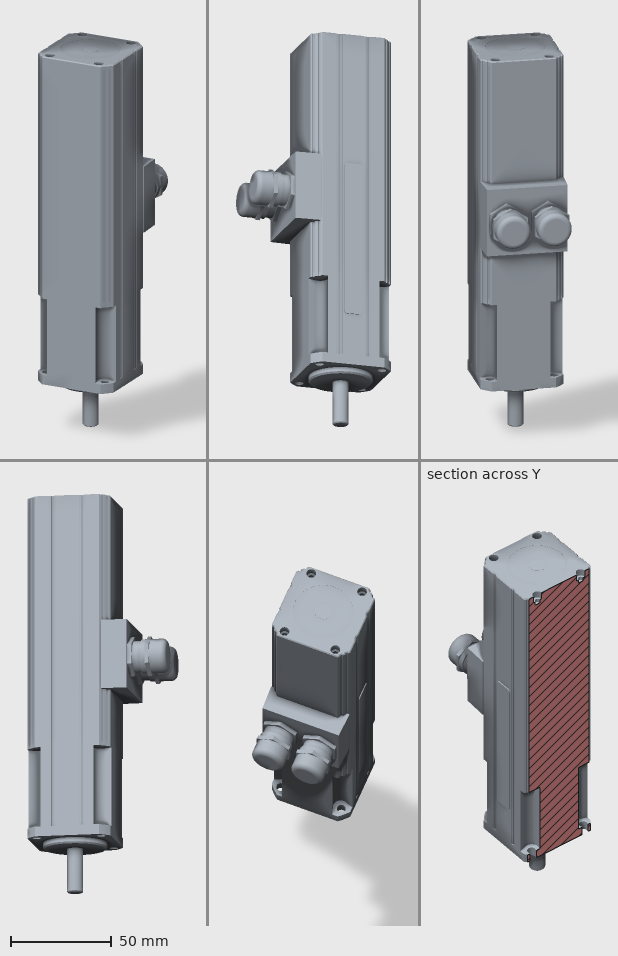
import cadquery as cq
import math


width = 42.0
half = width / 2
corner_chamfer = 4.8
flange_thickness = 5.0
housing_top = 172.0
section_joints = (109.3, 144.0)
top_edge_chamfer = 0.5
side_groove_offset = 7.4
side_groove_steps = ((3.0, 0.3), (0.9, 0.7))
corner_groove_offset = 1.5
corner_groove_steps = ((1.4, 0.5),)

flange_corner_radius = math.hypot(half, half - corner_chamfer)
mount_circle_diameter = 46.0
mount_hole_offset = mount_circle_diameter / 2 / math.sqrt(2)
mount_hole_diameter = 4.3
pilot_diameter = 32.0
pilot_length = 3.0
pilot_chamfer = 0.8
shaft_diameter = 8.0
shaft_length = 25.0
shaft_chamfer = 0.5

pocket_height = 40.0
pocket_mouth = 13.45
pocket_arc_near = 12.0
pocket_arc_far = 17.0
pocket_arc_radius = 3.9
pocket_overrun = 1.0

cover_disc_diameter = 30.0
cover_hub_diameter = 8.5
cover_step = 0.1
cover_screw_x = 13.6
cover_screw_y = 17.6
screw_bore_diameter = 4.8
screw_bore_depth = 4.0
screw_socket_size = 2.5
screw_socket_depth = 2.0

plate_thickness = 0.5
plate_width = 10.0
plate_bottom = 26.3
plate_top = 104.7
plate_corner_radius = 1.5

box_height = 34.6
box_center_z = 91.0
box_inner_y = 17.0
box_outer_y = 30.0
box_outer_half_width = 20.4

gland_offset_x = 10.5
gland_tip_y = 49.0
gland_diameter = 17.0
gland_tip_radius = 2.5
gland_neck_diameter = 15.5
gland_neck_end_y = 36.1
hex_across_flats = 17.2
hex_across_corners = hex_across_flats / math.cos(math.pi / 6)
base_hex_end_y = 32.1
cap_hex_start_y = 38.8
cap_hex_end_y = 40.8


def grooved_side(start, end, offset, steps):
    """Outline points of one side, from its start, with a pair of stepped grooves.

    The outline runs counter-clockwise. The grooves lie at +/- offset from the
    middle of the side, and steps lists their (width, depth) from wide to narrow.
    """
    length = math.dist(start, end)
    along = ((end[0] - start[0]) / length, (end[1] - start[1]) / length)
    inward = (-along[1], along[0])
    middle = ((start[0] + end[0]) / 2, (start[1] + end[1]) / 2)

    entering_half = []
    depth_above = 0.0
    for step_width, depth in steps:
        entering_half += [(-step_width / 2, depth_above), (-step_width / 2, depth)]
        depth_above = depth
    leaving_half = [(-shift, depth) for shift, depth in reversed(entering_half)]

    points = [start]
    for groove_middle in (-offset, offset):
        for shift, depth in entering_half + leaving_half:
            distance = groove_middle + shift
            points.append((
                middle[0] + along[0] * distance + inward[0] * depth,
                middle[1] + along[1] * distance + inward[1] * depth,
            ))
    return points


def housing_outline():
    """Chamfered square with grooves in the chamfers and in the X sides."""
    flat = half - corner_chamfer
    corners = [
        (half, -flat), (half, flat), (flat, half), (-flat, half),
        (-half, flat), (-half, -flat), (-flat, -half), (flat, -half),
    ]
    points = []
    for index, start in enumerate(corners):
        end = corners[(index + 1) % len(corners)]
        is_chamfer = index % 2 == 1
        is_x_side = start[0] == end[0]
        if is_chamfer:
            points += grooved_side(start, end, corner_groove_offset, corner_groove_steps)
        elif is_x_side:
            points += grooved_side(start, end, side_groove_offset, side_groove_steps)
        else:
            points.append(start)
    return points


def make_housing():
    """Motor, brake and encoder sections stacked on the flange, joints kept visible."""
    levels = (flange_thickness, *section_joints, housing_top)
    outline = housing_outline()
    housing = None
    for bottom, top in zip(levels, levels[1:]):
        section = cq.Workplane("XY").workplane(offset=bottom).polyline(outline).close()
        section = section.extrude(top - bottom)
        if top == housing_top:
            section = section.faces(">Z").chamfer(top_edge_chamfer)
        housing = section if housing is None else housing.union(section, clean=False)
    return housing


def make_pocket(sign_x, sign_y):
    """Cutter for the rounded screw pocket above one flange corner."""
    half_chord = (pocket_arc_far - pocket_arc_near) / math.sqrt(2)
    sagitta = pocket_arc_radius - math.sqrt(pocket_arc_radius**2 - half_chord**2)
    root = (pocket_arc_near + pocket_arc_far) / 2 - sagitta / math.sqrt(2)
    wall_slope = (pocket_mouth - pocket_arc_near) / (half - pocket_arc_far)
    outside = half + pocket_overrun
    outside_mouth = pocket_mouth + wall_slope * (outside - half)

    def corner(x, y):
        return (sign_x * x, sign_y * y)

    return (
        cq.Workplane("XY")
        .workplane(offset=flange_thickness)
        .moveTo(*corner(outside, outside_mouth))
        .lineTo(*corner(pocket_arc_far, pocket_arc_near))
        .threePointArc(corner(root, root), corner(pocket_arc_near, pocket_arc_far))
        .lineTo(*corner(outside_mouth, outside))
        .lineTo(*corner(outside, outside))
        .close()
        .extrude(pocket_height)
    )


def make_flange():
    """Square flange with arc corners and four mounting holes."""
    flange = cq.Workplane("XY").rect(width, width).extrude(flange_thickness)
    rounding = cq.Workplane("XY").circle(flange_corner_radius).extrude(flange_thickness)
    holes = (
        cq.Workplane("XY")
        .rect(2 * mount_hole_offset, 2 * mount_hole_offset, forConstruction=True)
        .vertices()
        .circle(mount_hole_diameter / 2)
        .extrude(flange_thickness)
    )
    return flange.intersect(rounding).cut(holes)


def make_pilot_and_shaft():
    """Centring pilot and plain shaft below the mounting face."""
    pilot = cq.Workplane("XY").circle(pilot_diameter / 2).extrude(-pilot_length)
    pilot = pilot.faces("<Z").chamfer(pilot_chamfer)
    shaft = cq.Workplane("XY").circle(shaft_diameter / 2).extrude(-shaft_length)
    shaft = shaft.faces("<Z").chamfer(shaft_chamfer)
    return pilot.union(shaft)


def make_cover_cuts():
    """Shallow disc recess and socket screw recesses in the end cover."""
    disc = (
        cq.Workplane("XY")
        .workplane(offset=housing_top)
        .circle(cover_disc_diameter / 2)
        .circle(cover_hub_diameter / 2)
        .extrude(-cover_step)
    )
    screws = (
        cq.Workplane("XY")
        .workplane(offset=housing_top)
        .rect(2 * cover_screw_x, 2 * cover_screw_y, forConstruction=True)
        .vertices()
    )
    bores = screws.circle(screw_bore_diameter / 2).extrude(-screw_bore_depth)
    sockets = screws.polygon(6, screw_socket_size / math.cos(math.pi / 6)).extrude(
        -screw_bore_depth - screw_socket_depth
    )
    return disc.union(bores).union(sockets)


def make_name_plate():
    """Raised plate with rounded corners on the -X face."""
    height = plate_top - plate_bottom
    return (
        cq.Workplane("YZ")
        .workplane(offset=-half - plate_thickness)
        .center(0, plate_bottom + height / 2)
        .rect(plate_width, height)
        .extrude(plate_thickness)
        .edges("|X")
        .fillet(plate_corner_radius)
    )


def make_connector_box():
    """Box on the +Y face, slightly narrower at its outer end."""
    return (
        cq.Workplane("XY")
        .workplane(offset=box_center_z - box_height / 2)
        .polyline([
            (-half, box_inner_y),
            (half, box_inner_y),
            (box_outer_half_width, box_outer_y),
            (-box_outer_half_width, box_outer_y),
        ])
        .close()
        .extrude(box_height)
    )


def make_gland(center_x):
    """Cable gland: hexagonal base, neck and round cap with a hexagonal collar."""

    def sketch_plane(start_y):
        return cq.Workplane("XZ", origin=(center_x, start_y, box_center_z))

    def hexagon(start_y, end_y):
        profile = sketch_plane(start_y).transformed(rotate=(0, 0, 90))
        return profile.polygon(6, hex_across_corners).extrude(start_y - end_y)

    def cylinder(diameter, start_y, end_y):
        return sketch_plane(start_y).circle(diameter / 2).extrude(start_y - end_y)

    cap = cylinder(gland_diameter, gland_neck_end_y, gland_tip_y)
    cap = cap.faces(">Y").edges().fillet(gland_tip_radius)
    return (
        hexagon(box_outer_y, base_hex_end_y)
        .union(cylinder(gland_neck_diameter, box_outer_y, gland_neck_end_y))
        .union(cap)
        .union(hexagon(cap_hex_start_y, cap_hex_end_y))
    )


housing = make_housing()
for sign_x in (-1, 1):
    for sign_y in (-1, 1):
        housing = housing.cut(make_pocket(sign_x, sign_y), clean=False)
housing = housing.cut(make_cover_cuts(), clean=False)

attached_parts = [
    make_flange(),
    make_pilot_and_shaft(),
    make_name_plate(),
    make_connector_box(),
    make_gland(-gland_offset_x),
    make_gland(gland_offset_x),
]
result = housing
for attached in attached_parts:
    result = result.union(attached, clean=False)